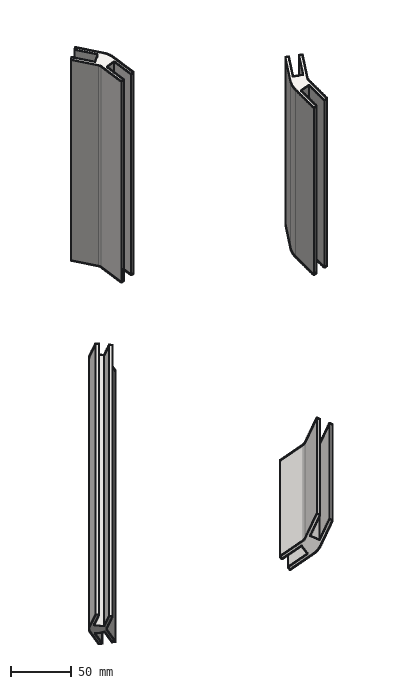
import cadquery as cq
import math

length = 250.0
thickness = 14.5
wall = 3.0
slot_depth = 20.0
bend_angle = 30.0
inner_bend_radius = 4.5
width_x = 54.0
depth_y = 27.0

bend = math.radians(bend_angle)
along = (math.cos(bend), -math.sin(bend))
across = (math.sin(bend), math.cos(bend))

outer_tip = (width_x, thickness * across[1] - depth_y)
inner_tip = (width_x - thickness * across[0], -depth_y)

outer_corner = (outer_tip[0] + outer_tip[1] / math.tan(bend), 0)
inner_corner = (outer_corner[0] - thickness * math.tan(bend / 2), -thickness)
outer_bend_radius = inner_bend_radius + thickness


def bend_points(corner, radius):
    """Start, middle and end of the arc that rounds a bend corner."""
    tangent = radius * math.tan(bend / 2)
    start = (corner[0] - tangent, corner[1])
    middle = (
        start[0] + radius * math.sin(bend / 2),
        start[1] - radius * (1 - math.cos(bend / 2)),
    )
    end = (corner[0] + tangent * along[0], corner[1] + tangent * along[1])
    return start, middle, end


def tilted_point(back, inward):
    """Point set back from the tilted tip and inward from its outer face."""
    return (
        outer_tip[0] - back * along[0] - inward * across[0],
        outer_tip[1] - back * along[1] - inward * across[1],
    )


outer_start, outer_middle, outer_end = bend_points(outer_corner, outer_bend_radius)
inner_start, inner_middle, inner_end = bend_points(inner_corner, inner_bend_radius)

profile = (
    cq.Workplane("XY")
    .moveTo(0, 0)
    .lineTo(*outer_start)
    .threePointArc(outer_middle, outer_end)
    .lineTo(*outer_tip)
    .lineTo(*tilted_point(0, wall))
    .lineTo(*tilted_point(slot_depth, wall))
    .lineTo(*tilted_point(slot_depth, thickness - wall))
    .lineTo(*tilted_point(0, thickness - wall))
    .lineTo(*inner_tip)
    .lineTo(*inner_end)
    .threePointArc(inner_middle, inner_start)
    .lineTo(0, -thickness)
    .lineTo(0, wall - thickness)
    .lineTo(slot_depth, wall - thickness)
    .lineTo(slot_depth, -wall)
    .lineTo(0, -wall)
    .close()
)

result = profile.extrude(length)